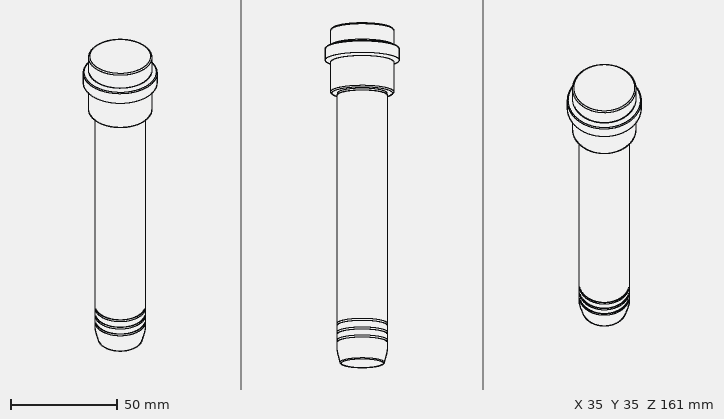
import cadquery as cq

length = 161.0
shaft_diameter = 24.0
head_diameter = 30.0
flange_diameter = 35.0
shaft_radius = shaft_diameter / 2
head_radius = head_diameter / 2

head_bottom = 130.1
flange_bottom = 146.0
flange_top = 152.0
flange_chamfer = 0.5
head_chamfer = 0.6

neck_depth = 0.3
neck_width = 1.0

tip_radius = 10.5
tip_height = 7.1
tip_bulge_radius = 11.5
tip_bulge_height = 4.0
tip_chamfer = 0.5

groove_radius = 0.5
tip_groove_heights = (10.6, 14.5, 18.7)
head_groove_heights = (flange_bottom - groove_radius, flange_top + groove_radius)


def cylinder(diameter, bottom, top):
    return cq.Workplane("XY").workplane(offset=bottom).circle(diameter / 2).extrude(top - bottom)


def ring_groove(surface_radius, height):
    """Torus centred on a cylindrical surface, for cutting a half-round groove."""
    section = cq.Workplane("XZ").center(surface_radius, height).circle(groove_radius)
    return section.revolve(360, (-surface_radius, 0), (-surface_radius, 1))


def make_shaft():
    """Revolved shaft with a convex tip and an undercut below the head."""
    tip_bulge = (tip_bulge_radius, tip_bulge_height)
    neck_radius = shaft_radius - neck_depth
    neck_bottom = head_bottom - neck_width
    shaft = (
        cq.Workplane("XZ")
        .moveTo(0, 0)
        .lineTo(tip_radius - tip_chamfer, 0)
        .lineTo(tip_radius, tip_chamfer)
        .threePointArc(tip_bulge, (shaft_radius, tip_height))
        .lineTo(shaft_radius, neck_bottom)
        .lineTo(neck_radius, neck_bottom)
        .lineTo(neck_radius, head_bottom)
        .lineTo(0, head_bottom)
        .close()
        .revolve(360, (0, 0), (0, 1))
    )
    for height in tip_groove_heights:
        shaft = shaft.cut(ring_groove(shaft_radius, height))
    return shaft


def make_head():
    """Chamfered cylindrical head with a groove on each side of the flange."""
    head = cylinder(head_diameter, head_bottom, length).edges().chamfer(head_chamfer)
    for height in head_groove_heights:
        head = head.cut(ring_groove(head_radius, height))
    return head


def make_flange():
    """Flange with its upper edge chamfered."""
    flange = cylinder(flange_diameter, flange_bottom, flange_top)
    return flange.faces(">Z").edges().chamfer(flange_chamfer)


result = make_shaft().union(make_head()).union(make_flange())